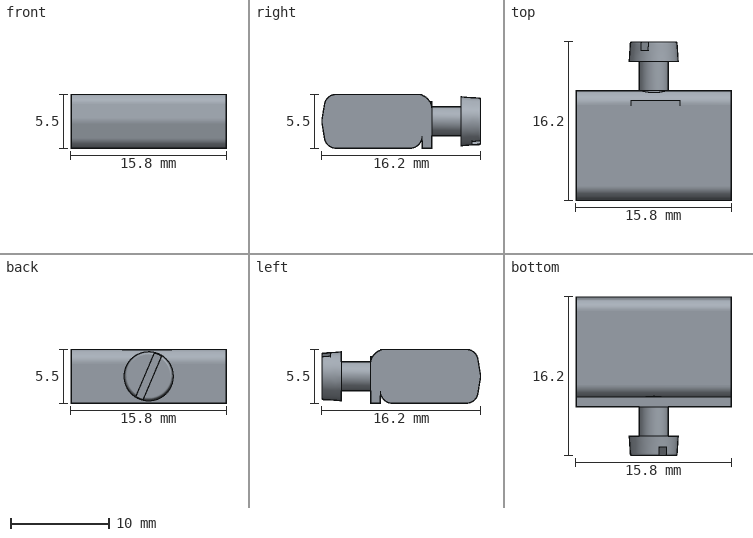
import cadquery as cq
import math

WIDTH = 15.8
HEIGHT = 5.5
BACK_Y = 11.2
CORNER_RADIUS = 1.2
REAR_TOP_RADIUS = 1.5
NOSE_ANGLE = 9.5
NOSE_RADIUS = 1.62
LIP_THICKNESS = 1.0

TAB_WIDTH = 5.01
TAB_OFFSET_X = 0.18

TOTAL_LENGTH = 16.16
SHAFT_RADIUS = 1.49
COLLAR_RADIUS = 2.0
HEAD_RADIUS = 2.5
HEAD_END_RADIUS = 2.38
HEAD_LENGTH = 2.0
HEAD_EDGE_RADIUS = 0.2
SLOT_WIDTH = 0.8
SLOT_DEPTH = 0.89
SLOT_TILT = 23.0

HALF_HEIGHT = HEIGHT / 2
LIP_FRONT_Y = BACK_Y - LIP_THICKNESS
HEAD_BASE_Y = TOTAL_LENGTH - HEAD_LENGTH
COLLAR_START_Y = BACK_Y - REAR_TOP_RADIUS


def make_block():
    """Rounded block with a ridged front and a lip at the lower rear edge."""
    slope = math.radians(NOSE_ANGLE)
    ridge_y = -NOSE_RADIUS * (1 / math.cos(slope) - 1)
    front_y = ridge_y + HALF_HEIGHT * math.tan(slope)
    core = (
        cq.Workplane("YZ")
        .moveTo(ridge_y, 0)
        .lineTo(front_y, HALF_HEIGHT)
        .lineTo(LIP_FRONT_Y, HALF_HEIGHT)
        .lineTo(LIP_FRONT_Y, -HALF_HEIGHT)
        .lineTo(front_y, -HALF_HEIGHT)
        .close()
        .extrude(WIDTH / 2, both=True)
    )
    core = core.edges("|X and <Y").fillet(NOSE_RADIUS)
    front_corners = cq.selectors.BoxSelector(
        (-WIDTH, front_y - 0.16, -HEIGHT), (WIDTH, front_y + 0.16, HEIGHT)
    )
    core = core.edges("|X").edges(front_corners).fillet(CORNER_RADIUS)
    core = core.edges("|X and >Y and <Z").fillet(CORNER_RADIUS)

    rear = cq.Workplane("XY").box(WIDTH, LIP_THICKNESS, HEIGHT)
    rear = rear.translate((0, BACK_Y - LIP_THICKNESS / 2, 0))
    return core.union(rear).clean().edges("|X and >Y and >Z").fillet(REAR_TOP_RADIUS)


def make_tab():
    """Flat tab level with the top face, ending in line with the lip's front face."""
    length = REAR_TOP_RADIUS - LIP_THICKNESS
    return cq.Workplane("XY").box(TAB_WIDTH, length, REAR_TOP_RADIUS).translate(
        (TAB_OFFSET_X, LIP_FRONT_Y - length / 2, HALF_HEIGHT - REAR_TOP_RADIUS / 2)
    )


def cylinder_along_y(radius, start_y, end_y):
    return cq.Workplane("XZ", origin=(0, start_y, 0)).circle(radius).extrude(start_y - end_y)


def make_head():
    """Tapered screw head with a rounded rim and a tilted driver slot."""
    head = (
        cq.Workplane("XY")
        .moveTo(0, HEAD_BASE_Y)
        .lineTo(HEAD_RADIUS, HEAD_BASE_Y)
        .lineTo(HEAD_END_RADIUS, TOTAL_LENGTH)
        .lineTo(0, TOTAL_LENGTH)
        .close()
        .revolve(360, (0, 0, 0), (0, 1, 0))
        .edges(">Y")
        .fillet(HEAD_EDGE_RADIUS)
    )
    slot = (
        cq.Workplane("XY")
        .box(SLOT_WIDTH, SLOT_DEPTH, 2 * HEAD_RADIUS)
        .rotate((0, 0, 0), (0, 1, 0), -SLOT_TILT)
        .translate((0, TOTAL_LENGTH - SLOT_DEPTH / 2, 0))
    )
    return head.cut(slot)


collar = cylinder_along_y(COLLAR_RADIUS, COLLAR_START_Y, BACK_Y)
shaft = cylinder_along_y(SHAFT_RADIUS, COLLAR_START_Y, HEAD_BASE_Y)

result = make_block().union(make_tab()).union(collar).union(shaft).union(make_head())